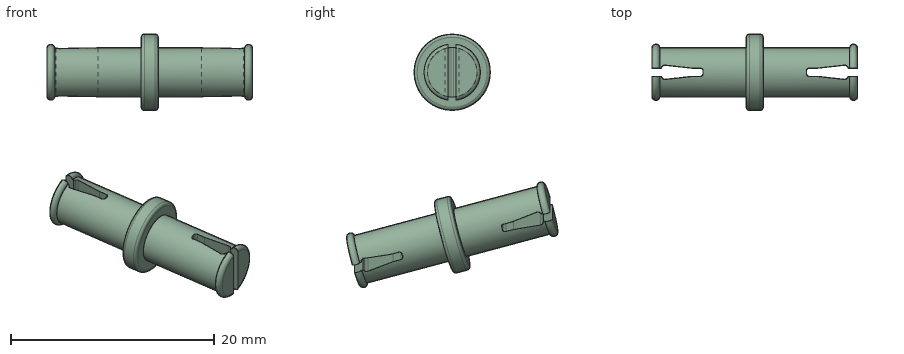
import cadquery as cq

length = 20.2
shaft_diameter = 4.87

collar_diameter = 7.5
collar_width = 1.68
collar_fillet = 0.3

rim_diameter = 5.53
rim_width = 0.77

slot_width = 0.79
slot_depth = 5.0
slot_corner_radius = 0.26
flare_width = 1.41
flare_start = 0.89
flare_peak = 1.11
flare_end = 3.94
flare_peak_radius = 0.3


def disc(diameter, width, start_x):
    """Solid cylinder along X, starting at start_x."""
    return cq.Workplane("YZ").workplane(offset=start_x).circle(diameter / 2).extrude(width)


def left_rim():
    """Bulging rim at the left end, revolved about the X axis."""
    start_x = -length / 2
    end_x = start_x + rim_width
    crest = (start_x + rim_width / 2, rim_diameter / 2)
    return (
        cq.Workplane("XY")
        .moveTo(start_x, 0)
        .lineTo(start_x, shaft_diameter / 2)
        .threePointArc(crest, (end_x, shaft_diameter / 2))
        .lineTo(end_x, 0)
        .close()
        .revolve(360, (0, 0, 0), (1, 0, 0))
    )


def left_slot():
    """Split of the left end: parallel mouth, tapering flare and rounded bottom."""
    end_x = -length / 2
    channel = (
        cq.Workplane("XY")
        .center(end_x + slot_depth / 2, 0)
        .rect(slot_depth, slot_width)
        .extrude(rim_diameter / 2, both=True)
        .edges("|Z and >X")
        .fillet(slot_corner_radius)
    )
    flare = (
        cq.Workplane("XY")
        .moveTo(end_x + flare_start, slot_width / 2)
        .lineTo(end_x + flare_peak, flare_width / 2)
        .lineTo(end_x + flare_end, slot_width / 2)
        .lineTo(end_x + flare_end, -slot_width / 2)
        .lineTo(end_x + flare_peak, -flare_width / 2)
        .lineTo(end_x + flare_start, -slot_width / 2)
        .close()
        .extrude(rim_diameter / 2, both=True)
        .edges("|Z and (>Y or <Y)")
        .fillet(flare_peak_radius)
    )
    return channel.union(flare)


shaft = disc(shaft_diameter, length, -length / 2)
collar = disc(collar_diameter, collar_width, -collar_width / 2).edges().fillet(collar_fillet)
rim = left_rim()
slot = left_slot()

result = (
    shaft.union(collar)
    .union(rim)
    .union(rim.mirror("YZ"))
    .cut(slot)
    .cut(slot.mirror("YZ"))
)